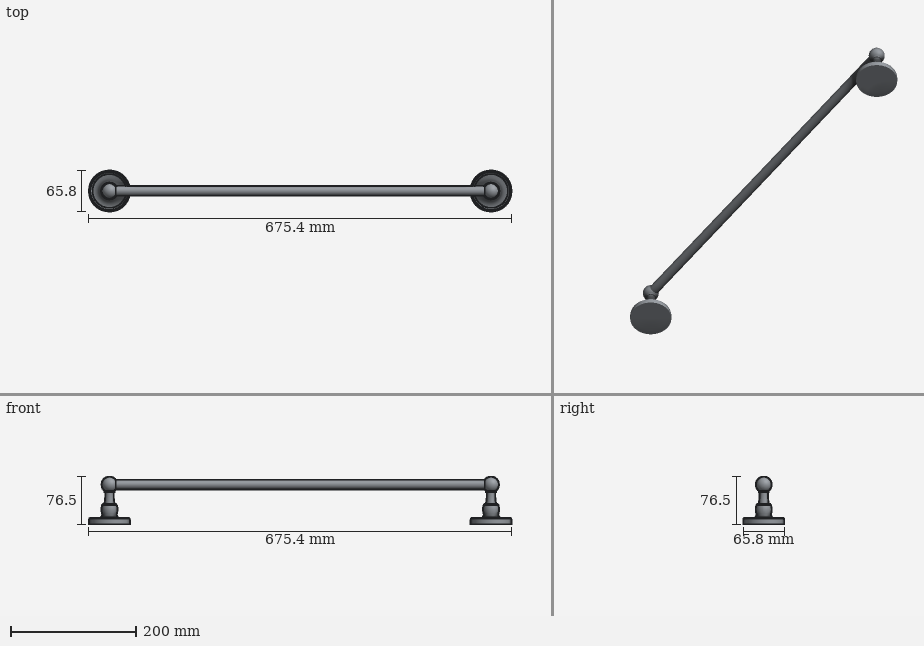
import cadquery as cq
import math


mount_spacing = 609.6
overall_height = 76.48
bar_radius = 8.0

flange_radius = 32.895
wall_height = 7.0
rim_step_radius = 32.5
rim_step_z = 9.0
rim_top_radius = 30.4
rim_top_z = 11.0
dish_radius = 27.0
dish_z = 8.4
dish_middle_radius = 20.0
dish_middle_z = 8.5

hub_radius = 13.6
hub_bottom_z = 10.6
hub_top_z = 11.3
flare_middle_radius = 12.3
flare_middle_z = 13.5

waist_radius = 11.9
waist_z = 17.2
bulb_radius = 13.0
bulb_z = 24.5
shoulder_radius = 11.8
shoulder_z = 31.0
ledge_radius = 9.6
ledge_z = 33.2

neck_foot_radius = 8.2
neck_middle_radius = 7.1
neck_top_radius = 6.9
collar_radius = 8.3
collar_bottom_z = 51.3
neck_middle_z = (ledge_z + collar_bottom_z) / 2

ball_radius = 12.8
ball_z = overall_height - ball_radius
collar_top_z = ball_z - math.sqrt(ball_radius**2 - collar_radius**2)


def make_bar():
    """Round bar along X that runs from ball centre to ball centre."""
    bar_start = (-mount_spacing / 2, 0, ball_z)
    return cq.Workplane("YZ", origin=bar_start).circle(bar_radius).extrude(mount_spacing)


def make_mount(x):
    """Flange, post and ball turned as one piece about a vertical axis at x."""
    half_section = (
        cq.Workplane("XZ")
        .lineTo(flange_radius, 0)
        .lineTo(flange_radius, wall_height)
        .lineTo(rim_step_radius, rim_step_z)
        .lineTo(rim_top_radius, rim_top_z)
        .lineTo(dish_radius, dish_z)
        .threePointArc((dish_middle_radius, dish_middle_z), (hub_radius, hub_bottom_z))
        .lineTo(hub_radius, hub_top_z)
        .threePointArc((flare_middle_radius, flare_middle_z), (waist_radius, waist_z))
        .threePointArc((bulb_radius, bulb_z), (shoulder_radius, shoulder_z))
        .lineTo(ledge_radius, ledge_z)
        .lineTo(neck_foot_radius, ledge_z)
        .threePointArc((neck_middle_radius, neck_middle_z), (neck_top_radius, collar_bottom_z))
        .lineTo(collar_radius, collar_bottom_z)
        .lineTo(collar_radius, collar_top_z)
        .threePointArc((ball_radius, ball_z), (0, overall_height))
        .close()
    )
    return half_section.revolve(360, (0, 0), (0, 1)).translate((x, 0, 0))


bar = make_bar()

mounts = []
for side in (-1, 1):
    mount = make_mount(side * mount_spacing / 2).cut(bar)
    mounts.append(mount.solids().val())

result = cq.Compound.makeCompound([bar.val(), *mounts])